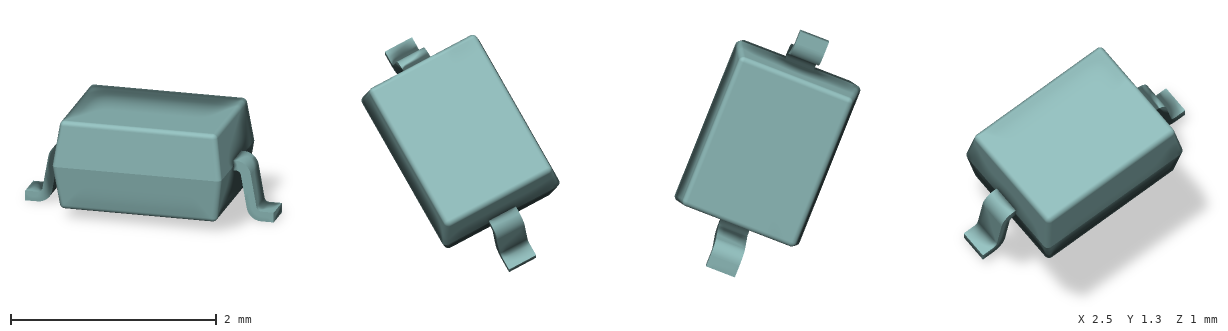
import cadquery as cq
import math

overall_length = 2.5
overall_height = 1.0

housing_length = 1.7
housing_width = 1.3
standoff = 0.1
draft_angle = 8.0
edge_radius = 0.05
half_height = (overall_height - standoff) / 2
parting_z = standoff + half_height

lead_thickness = 0.1
lead_width = 0.3
bend_radius = 0.1
lean_angle = 10.0
shoulder_length = 0.02
lead_reach = (overall_length - housing_length) / 2


def make_housing_half(direction):
    """Tapered half growing up (+1) or down (-1) from the parting plane."""
    half = (
        cq.Workplane("XY")
        .workplane(offset=parting_z)
        .rect(housing_length, housing_width)
        .extrude(direction * half_height, taper=draft_angle)
    )
    outer_face = ">Z" if direction > 0 else "<Z"
    corner_edges = half.edges("not #Z")
    outer_edges = half.faces(outer_face).edges()
    return half.newObject(corner_edges.vals() + outer_edges.vals()).fillet(edge_radius)


def make_housing():
    return make_housing_half(1).union(make_housing_half(-1))


def make_left_lead(housing):
    """Constant-thickness strip swept along its centreline, ending flush on the housing."""
    bend_angle = math.radians(90 - lean_angle)
    half_bend = bend_angle / 2
    foot_z = lead_thickness / 2
    bend_run = bend_radius * math.sin(bend_angle)
    bend_rise = bend_radius * (1 - math.cos(bend_angle))
    mid_run = bend_radius * math.sin(half_bend)
    mid_rise = bend_radius * (1 - math.cos(half_bend))
    shank_rise = parting_z - foot_z - 2 * bend_rise
    shank_run = shank_rise * math.tan(math.radians(lean_angle))

    toe_x = -overall_length / 2
    shoulder_x = toe_x + lead_reach - shoulder_length
    heel_x = shoulder_x - 2 * bend_run - shank_run
    trim_x = toe_x + lead_reach + lead_thickness

    centreline = (
        cq.Workplane("XZ")
        .moveTo(toe_x, foot_z)
        .lineTo(heel_x, foot_z)
        .threePointArc(
            (heel_x + mid_run, foot_z + mid_rise),
            (heel_x + bend_run, foot_z + bend_rise),
        )
        .line(shank_run, shank_rise)
        .threePointArc(
            (shoulder_x - mid_run, parting_z - mid_rise),
            (shoulder_x, parting_z),
        )
        .lineTo(trim_x, parting_z)
    )
    strip = (
        cq.Workplane("YZ", origin=(toe_x, 0, foot_z))
        .rect(lead_width, lead_thickness)
        .sweep(centreline)
    )
    return strip.cut(housing)


housing = make_housing()
left_lead = make_left_lead(housing)
leads = [left_lead.rotate((0, 0, 0), (0, 0, 1), turn).val() for turn in (0, 180)]

lead_solids = [solid for lead in leads for solid in lead.Solids()]
result = cq.Compound.makeCompound([*housing.vals(), *lead_solids])